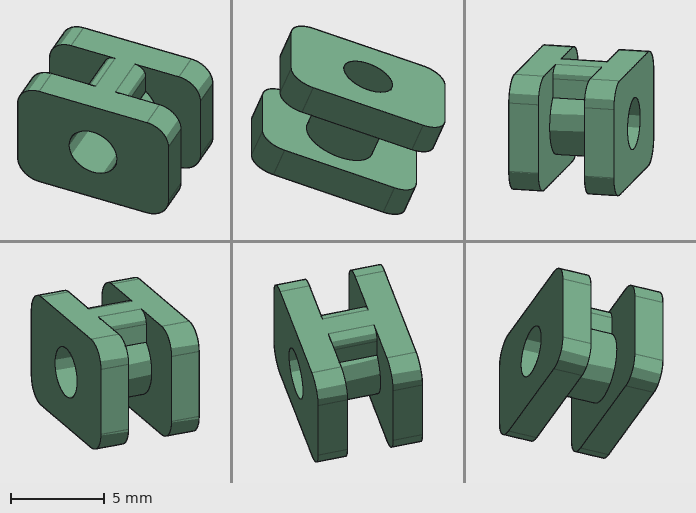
import cadquery as cq

length = 8.84
depth = 5.79
height = 6.3

gap = 2.53
plate_thickness = (depth - gap) / 2
corner_radius = 1.26

bore_diameter = 2.79
hub_diameter = 3.81
neck_top_flat = 1.16
neck_edge_radius = 0.64
neck_width = neck_top_flat + 2 * neck_edge_radius


def make_plate(y_center):
    """Plate standing in the XZ plane, with rounded corners."""
    plate = cq.Workplane("XY").box(length, plate_thickness, height)
    return plate.edges("|Y").fillet(corner_radius).translate((0, y_center, 0))


def make_hub():
    """Round sleeve spanning the gap between the plates."""
    return cq.Workplane("XZ").circle(hub_diameter / 2).extrude(gap / 2, both=True)


def make_neck():
    """Web rising from the hub axis to the plate tops, with rounded upper edges."""
    neck = cq.Workplane("XY").box(neck_width, gap, height / 2, centered=(True, True, False))
    return neck.edges("|Y and >Z").fillet(neck_edge_radius)


def make_bore():
    """Through hole along Y."""
    return cq.Workplane("XZ").circle(bore_diameter / 2).extrude(depth, both=True)


plate_offset = (gap + plate_thickness) / 2
body = make_hub().union(make_neck())
for side in (-1, 1):
    body = body.union(make_plate(side * plate_offset))

result = body.cut(make_bore())